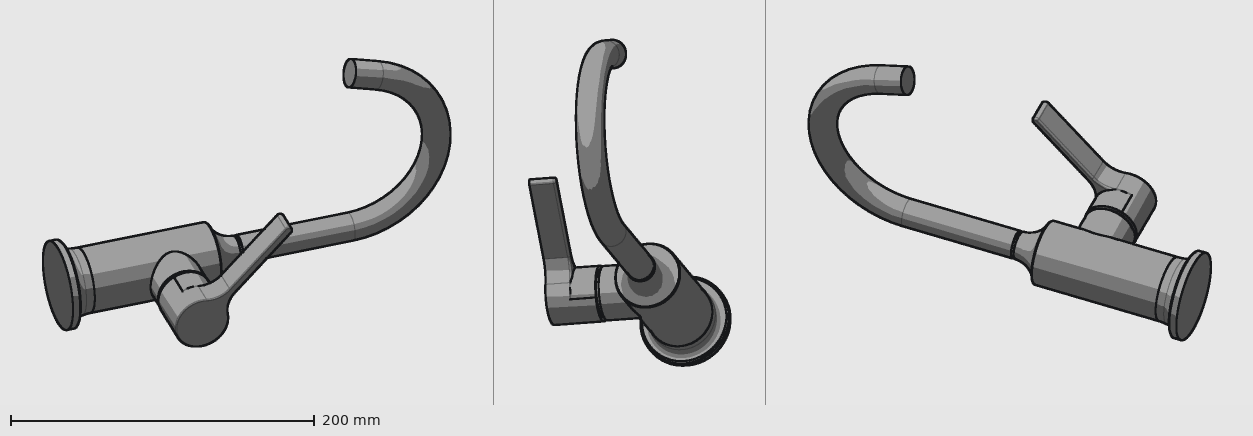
import cadquery as cq
import math


flange_radius = 30.0
flange_rim = 5.0
cove_radius = 6.0
cove_top = 12.0
cove_neck_radius = 22.6
base_height = 18.0

body_radius = 22.05
shoulder_height = 106.2
shoulder_chamfer = 0.5
neck_height = 124.5
flare_radius = 19.0

port_y = 75.0
port_radius = 18.05
port_end = 36.5
port_spigot_radius = 15.75

tube_radius = 9.5
collar_radius = 9.05
collar_length = 1.8
bend_start = 204.2
bend_radius = 60.0
bend_angle = 162.0
outlet_length = 20.0

handle_start = 38.8
handle_end = 72.86
hub_radius = 18.5
lever_width = 18.1
lever_thickness = 5.6
lever_reach = 87.8
lever_angle = 45.0
lever_blend_radius = 18.0
lever_tip_radius = 2.5
lever_inner_edge_radius = 1.5
lever_outer_edge_radius = 0.8
relief_depth = 0.1
relief_half_angle = 70.0


def base_solid():
    """Round base: rim, cove and a gently tapered collar, turned about Y."""
    cove_foot_radius = cove_neck_radius + cove_radius
    cove_bottom = cove_top - cove_radius
    taper = cove_neck_radius - body_radius
    taper_height = base_height - cove_top
    taper_arc_radius = (taper**2 + taper_height**2) / (2 * taper)
    return (
        cq.Workplane("XY")
        .lineTo(flange_radius, 0)
        .lineTo(flange_radius, flange_rim)
        .lineTo(cove_foot_radius, cove_bottom)
        .radiusArc((cove_neck_radius, cove_top), cove_radius)
        .radiusArc((body_radius, base_height), taper_arc_radius)
        .lineTo(0, base_height)
        .close()
        .revolve(360, (0, 0), (0, 1))
    )


def body_solid():
    """Barrel with a flared neck, plus the side port and its spigot."""
    flare_foot_radius = body_radius - shoulder_chamfer
    flare_run = tube_radius + flare_radius - flare_foot_radius
    flare_foot = neck_height - math.sqrt(flare_radius**2 - flare_run**2)
    barrel = (
        cq.Workplane("XY")
        .moveTo(0, base_height)
        .lineTo(body_radius, base_height)
        .lineTo(body_radius, shoulder_height)
        .lineTo(flare_foot_radius, flare_foot)
        .radiusArc((tube_radius, neck_height), flare_radius)
        .lineTo(0, neck_height)
        .close()
        .revolve(360, (0, 0), (0, 1))
    )
    port = cq.Workplane("YZ").center(port_y, 0).circle(port_radius).extrude(port_end)
    spigot = cq.Workplane("YZ").center(port_y, 0).circle(port_spigot_radius).extrude(handle_start)
    return barrel.union(port).union(spigot)


def spout_solid():
    """Collar, straight tube, bend towards +Z and a straight outlet."""
    def bend_point(angle):
        turn = math.radians(angle)
        return (
            bend_start + bend_radius * math.sin(turn),
            bend_radius * (1 - math.cos(turn)),
        )

    tube_start = neck_height + collar_length
    bend_end = bend_point(bend_angle)
    outlet_direction = math.radians(bend_angle)
    outlet_end = (
        bend_end[0] + outlet_length * math.cos(outlet_direction),
        bend_end[1] + outlet_length * math.sin(outlet_direction),
    )
    path = (
        cq.Workplane("YZ")
        .moveTo(tube_start, 0)
        .lineTo(bend_start, 0)
        .threePointArc(bend_point(bend_angle / 2), bend_end)
        .lineTo(*outlet_end)
    )
    tube_plane = cq.Plane(origin=(0, tube_start, 0), xDir=(1, 0, 0), normal=(0, 1, 0))
    tube = cq.Workplane(tube_plane).circle(tube_radius).sweep(path)
    collar = cq.Workplane(tube_plane).circle(collar_radius).extrude(-collar_length)
    return tube.union(collar)


def handle_solid():
    """Cylindrical hub with a flat lever blended into its outer end."""
    half_thickness = lever_thickness / 2

    blend_v = half_thickness + lever_blend_radius
    blend_u = math.sqrt((hub_radius + lever_blend_radius)**2 - blend_v**2)
    hub_share = hub_radius / (hub_radius + lever_blend_radius)
    hub_u = blend_u * hub_share
    hub_v = blend_v * hub_share

    lever_turn = math.radians(lever_angle)
    lever_direction = (0, math.cos(lever_turn), math.sin(lever_turn))
    lever_plane = cq.Plane(
        origin=(handle_end - lever_width, port_y, 0),
        xDir=lever_direction,
        normal=(1, 0, 0),
    )
    lever = (
        cq.Workplane(lever_plane)
        .moveTo(hub_u, hub_v)
        .threePointArc((-hub_radius, 0), (hub_u, -hub_v))
        .radiusArc((blend_u, -half_thickness), lever_blend_radius)
        .lineTo(lever_reach, -half_thickness)
        .lineTo(lever_reach, half_thickness)
        .lineTo(blend_u, half_thickness)
        .radiusArc((hub_u, hub_v), lever_blend_radius)
        .close()
        .extrude(lever_width)
        .faces(cq.selectors.DirectionMinMaxSelector(cq.Vector(*lever_direction)))
        .edges("|X")
        .fillet(lever_tip_radius)
        .faces("<X")
        .edges()
        .fillet(lever_inner_edge_radius)
        .faces(">X")
        .edges()
        .fillet(lever_outer_edge_radius)
    )

    hub_length = handle_end - lever_width + lever_inner_edge_radius - handle_start
    hub_plane = cq.Plane(
        origin=(handle_start, port_y, 0), xDir=lever_direction, normal=(1, 0, 0)
    )
    chord_angle = math.radians(relief_half_angle)
    chord_u = hub_radius * math.cos(chord_angle)
    chord_v = hub_radius * math.sin(chord_angle)
    full_hub = (
        cq.Workplane(hub_plane)
        .moveTo(chord_u, chord_v)
        .threePointArc((-hub_radius, 0), (chord_u, -chord_v))
        .close()
        .extrude(hub_length)
    )
    relieved_hub = cq.Workplane(hub_plane).circle(hub_radius - relief_depth).extrude(hub_length)
    return full_hub.union(relieved_hub).union(lever)


base = base_solid()
body = body_solid()
spout = spout_solid()
handle = handle_solid()

result = cq.Compound.makeCompound([base.val(), body.val(), spout.val(), handle.val()])